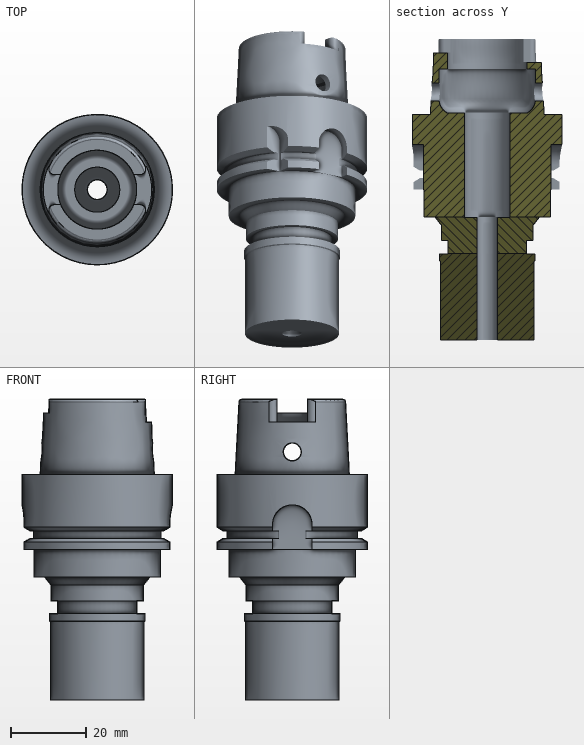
import cadquery as cq
import math


shank_length = 20.0
taper_base_radius = 15.2
taper_tip_radius = 14.15
tip_rounding = 0.8

bore_radius = 10.5
bore_lip = 12.0
chamber_radius = 12.75
chamber_corner_top = 4.0
chamber_corner_radius = 4.0
pilot_radius = 6.0
coolant_radius = 2.6

drive_slot_width = 8.0
left_drive_depth = 3.6
right_drive_depth = 6.1
drive_corner_radius = 1.5

cross_hole_diameter = 4.7
cross_hole_height = 6.0

flange_radius = 20.0
flange_bottom = -20.0
groove_top = -14.0
groove_bottom = -18.0
groove_floor_radius = 17.4
groove_ledge_radius = 18.4
groove_flank_height = 1.0
groove_floor_top = groove_top - groove_flank_height
groove_floor_bottom = groove_bottom + groove_flank_height

keyway_top = -8.1
keyway_floor = 17.0
left_keyway_width = 9.0
right_keyway_width = 10.5
notch_floor = 12.0
notch_center_y = 16.0
notch_width = 8.0

collar_radius = 16.85
collar_bottom = -27.3

spindle_cone_radius = 13.95
spindle_radius = 12.25
cone_bottom = -29.45
neck_radius = 10.55
neck_top = -33.6

nut_top = -37.0
nut_bottom = -60.0
nut_radius = 12.5
nut_rim_step = 0.25
nut_rim_radius = nut_radius + nut_rim_step
nut_rim_bottom = -38.9


def revolved(points):
    """Solid of revolution about Z from (radius, height) points."""
    profile = [(-radius, height) for radius, height in points]
    return cq.Workplane("YZ").polyline(profile).close().revolve(360, (0, 0, 0), (0, 1, 0))


def disc(radius, bottom, top):
    return cq.Workplane("XY", origin=(0, 0, bottom)).circle(radius).extrude(top - bottom)


def make_shank():
    shank = revolved([
        (0, 0),
        (taper_base_radius, 0),
        (taper_tip_radius, shank_length),
        (0, shank_length),
    ])
    return shank.faces(">Z").edges().fillet(tip_rounding)


def make_flange_and_collar():
    return revolved([
        (0, 0),
        (flange_radius, 0),
        (flange_radius, groove_top),
        (groove_ledge_radius, groove_floor_top),
        (groove_floor_radius, groove_floor_top),
        (groove_floor_radius, groove_floor_bottom),
        (groove_ledge_radius, groove_floor_bottom),
        (flange_radius, groove_bottom),
        (flange_radius, flange_bottom),
        (collar_radius, flange_bottom),
        (collar_radius, collar_bottom),
        (0, collar_bottom),
    ])


def clamping_chamber():
    """Chamber whose corner arc curves inward until it is as narrow as the bore, ending in a flat floor."""
    arc_center_radius = chamber_radius - chamber_corner_radius
    end_angle = math.acos((bore_radius - arc_center_radius) / chamber_corner_radius)

    def arc_point(angle):
        radius = arc_center_radius + chamber_corner_radius * math.cos(angle)
        height = chamber_corner_top - chamber_corner_radius * math.sin(angle)
        return (-radius, height)

    chamber_floor = arc_point(end_angle)[1]
    return (
        cq.Workplane("YZ")
        .moveTo(0, bore_lip)
        .lineTo(-chamber_radius, bore_lip)
        .lineTo(-chamber_radius, chamber_corner_top)
        .threePointArc(arc_point(end_angle / 2), arc_point(end_angle))
        .lineTo(0, chamber_floor)
        .close()
        .revolve(360, (0, 0, 0), (0, 1, 0))
    )


def drive_slot(side, depth):
    """Slot from the axis out through the shank wall, its mouth flared by rounded corners."""
    half_width = drive_slot_width / 2
    arc_center_distance = taper_tip_radius - drive_corner_radius
    arc_center_y = half_width + drive_corner_radius
    arc_center_x = math.sqrt(arc_center_distance**2 - arc_center_y**2)
    tangent_scale = taper_tip_radius / arc_center_distance
    mouth_x = side * arc_center_x * tangent_scale
    mouth_y = arc_center_y * tangent_scale
    flare_x = side * arc_center_x
    outside_x = side * flange_radius
    arc_radius = side * drive_corner_radius
    return (
        cq.Workplane("XY", origin=(0, 0, shank_length - depth))
        .moveTo(0, -half_width)
        .lineTo(flare_x, -half_width)
        .radiusArc((mouth_x, -mouth_y), arc_radius)
        .lineTo(outside_x, -mouth_y)
        .lineTo(outside_x, mouth_y)
        .lineTo(mouth_x, mouth_y)
        .radiusArc((flare_x, half_width), arc_radius)
        .lineTo(0, half_width)
        .close()
        .extrude(depth)
    )


def cross_hole():
    return (
        cq.Workplane("YZ", origin=(-flange_radius, 0, cross_hole_height))
        .circle(cross_hole_diameter / 2)
        .extrude(2 * flange_radius)
    )


def flange_slot(side, floor_distance, center_y, width):
    """Round-topped slot with a flat floor facing along X, open at the flange bottom."""
    radius = width / 2
    return (
        cq.Workplane("YZ", origin=(side * floor_distance, center_y, 0))
        .moveTo(-radius, flange_bottom)
        .lineTo(-radius, keyway_top - radius)
        .threePointArc((0, keyway_top), (radius, keyway_top - radius))
        .lineTo(radius, flange_bottom)
        .close()
        .extrude(side * flange_radius)
    )


def make_holder():
    holder = make_flange_and_collar().union(make_shank())
    holder = holder.cut(disc(bore_radius, bore_lip, shank_length))
    holder = holder.cut(clamping_chamber())
    holder = holder.cut(disc(pilot_radius, collar_bottom, bore_lip))
    holder = holder.cut(cross_hole())
    for side, depth, keyway_width in (
        (-1, left_drive_depth, left_keyway_width),
        (1, right_drive_depth, right_keyway_width),
    ):
        holder = holder.cut(drive_slot(side, depth))
        holder = holder.cut(flange_slot(side, keyway_floor, 0, keyway_width))
    return holder.cut(flange_slot(-1, notch_floor, notch_center_y, notch_width))


def make_spindle():
    return revolved([
        (coolant_radius, collar_bottom),
        (spindle_cone_radius, collar_bottom),
        (spindle_radius, cone_bottom),
        (spindle_radius, neck_top),
        (neck_radius, neck_top),
        (neck_radius, nut_top),
        (coolant_radius, nut_top),
    ])


def make_nut():
    return revolved([
        (coolant_radius, nut_top),
        (nut_rim_radius, nut_top),
        (nut_rim_radius, nut_rim_bottom),
        (nut_radius, nut_rim_bottom - nut_rim_step),
        (nut_radius, nut_bottom),
        (coolant_radius, nut_bottom),
    ])


holder = make_holder()
spindle = make_spindle()
nut = make_nut()

result = cq.Compound.makeCompound([holder.val(), spindle.val(), nut.val()])